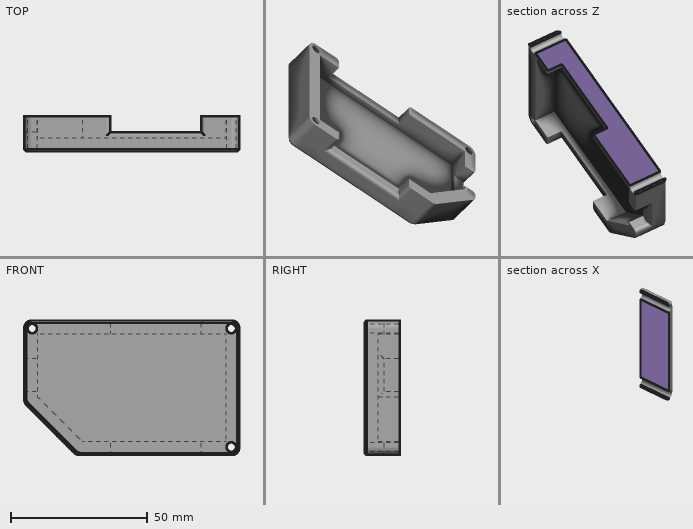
import cadquery as cq

length = 78.95
depth = 13.0
height = 49.45

corner_radius = 3.0
corner_cut = 19.3
front_chamfer = 0.9

wall = 5.0

screw_hole_diameter = 3.4

sill_depth = 7.15
opening_round = 1.4
long_opening_left = 31.65
long_opening_width = 33.3
side_opening_bottom = 23.4
side_opening_height = 12.0

margin = 0.1


def outline():
    """Sharp-cornered outline on the front face; a negative extrusion runs towards +Y."""
    return (
        cq.Workplane("XZ")
        .moveTo(corner_cut, 0)
        .lineTo(length, 0)
        .lineTo(length, height)
        .lineTo(0, height)
        .lineTo(0, corner_cut)
        .close()
    )


def make_block():
    block = outline().extrude(-depth).edges("|Y").fillet(corner_radius)
    return block.faces("<Y").edges().chamfer(front_chamfer)


def make_cavity():
    """Outline moved inwards by the wall thickness, starting behind the front plate."""
    cavity = outline().offset2D(-wall).extrude(wall - depth)
    return cavity.translate((0, wall, 0))


def make_screw_holes():
    right = length - corner_radius
    top = height - corner_radius
    centres = [
        (corner_radius, top),
        (right, top),
        (right, corner_radius),
    ]
    return cq.Workplane("XZ").pushPoints(centres).circle(screw_hole_diameter / 2).extrude(-depth)


def make_opening(x, z, size_x, size_z):
    """Straight-sided opening from the sill to the back face."""
    opening = cq.Workplane("XY").box(size_x, depth - sill_depth, size_z, centered=False)
    return opening.translate((x, sill_depth, z))


def round_mouth(body, x, z, size_x, size_z):
    """Round the outer edges of an opening whose mouth has the given corner and size."""
    low = (x - margin, sill_depth - margin, z - margin)
    high = (x + size_x + margin, depth - margin, z + size_z + margin)
    return body.edges(cq.selectors.BoxSelector(low, high)).fillet(opening_round)


def add_long_openings(body):
    """Matching openings in the top and bottom walls."""
    body = body.cut(make_opening(long_opening_left, 0, long_opening_width, height))
    for mouth_z in (0, height):
        body = round_mouth(body, long_opening_left, mouth_z, long_opening_width, 0)
    return body


def add_side_opening(body):
    """Opening in the left wall only."""
    body = body.cut(make_opening(0, side_opening_bottom, wall, side_opening_height))
    return round_mouth(body, 0, side_opening_bottom, 0, side_opening_height)


housing = make_block().cut(make_cavity())
housing = add_long_openings(housing)
housing = add_side_opening(housing)
result = housing.cut(make_screw_holes())